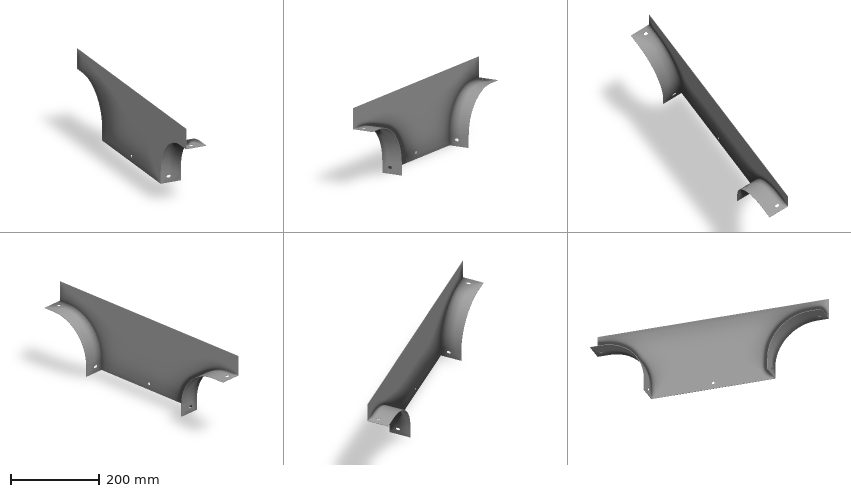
import cadquery as cq
import math

length = 560.0
height = 180.0
depth = 51.0
thickness = 1.0
foot_width = 300.0
arm_height = 50.0
bend_radius = 100.0
hole_diameter = 7.0
slot_width = 7.0
slot_length = 10.0
slot_from_front = 20.0
hole_from_edge = 15.0

half_length = length / 2
half_foot = foot_width / 2
arm_bottom = height - arm_height
bend_x = half_foot + bend_radius
bend_z = arm_bottom - bend_radius


def bend_middle(radius):
    """Middle point of the right-hand quarter bend at the given radius."""
    offset = radius * math.cos(math.pi / 4)
    return (bend_x - offset, bend_z + offset)


def mirror_union(right_half):
    return right_half.union(right_half.mirror("YZ"))


def make_plate():
    """Flat T-shaped web with concave corners under both arms."""
    half = (
        cq.Workplane("XZ")
        .moveTo(0, 0)
        .lineTo(half_foot, 0)
        .lineTo(half_foot, bend_z)
        .threePointArc(bend_middle(bend_radius), (bend_x, arm_bottom))
        .lineTo(half_length, arm_bottom)
        .lineTo(half_length, height)
        .lineTo(0, height)
        .close()
        .extrude(-thickness)
    )
    return mirror_union(half)


def make_flanges():
    """Thin strips running back from the web along its curved lower edges."""
    inner_x = half_foot - thickness
    upper_z = arm_bottom + thickness
    right = (
        cq.Workplane("XZ")
        .moveTo(half_foot, 0)
        .lineTo(half_foot, bend_z)
        .threePointArc(bend_middle(bend_radius), (bend_x, arm_bottom))
        .lineTo(half_length, arm_bottom)
        .lineTo(half_length, upper_z)
        .lineTo(bend_x, upper_z)
        .threePointArc(bend_middle(bend_radius + thickness), (inner_x, bend_z))
        .lineTo(inner_x, 0)
        .close()
        .extrude(-depth)
    )
    return mirror_union(right)


def make_web_hole():
    return (
        cq.Workplane("XZ")
        .center(0, hole_from_edge)
        .circle(hole_diameter / 2)
        .extrude(-thickness)
    )


def make_arm_slots():
    """Vertical slots through the flat flange at each arm end."""
    slot_x = half_length - hole_from_edge
    return (
        cq.Workplane("XY", origin=(0, 0, arm_bottom))
        .pushPoints([(-slot_x, slot_from_front), (slot_x, slot_from_front)])
        .slot2D(slot_length, slot_width, 90)
        .extrude(thickness)
    )


def make_foot_slots():
    """Slots along Y through the upright flange on each side of the foot."""
    return (
        cq.Workplane("YZ", origin=(-half_foot, 0, 0))
        .center(slot_from_front, hole_from_edge)
        .slot2D(slot_length, slot_width)
        .extrude(foot_width)
    )


result = (
    make_plate()
    .union(make_flanges())
    .cut(make_web_hole())
    .cut(make_arm_slots())
    .cut(make_foot_slots())
)